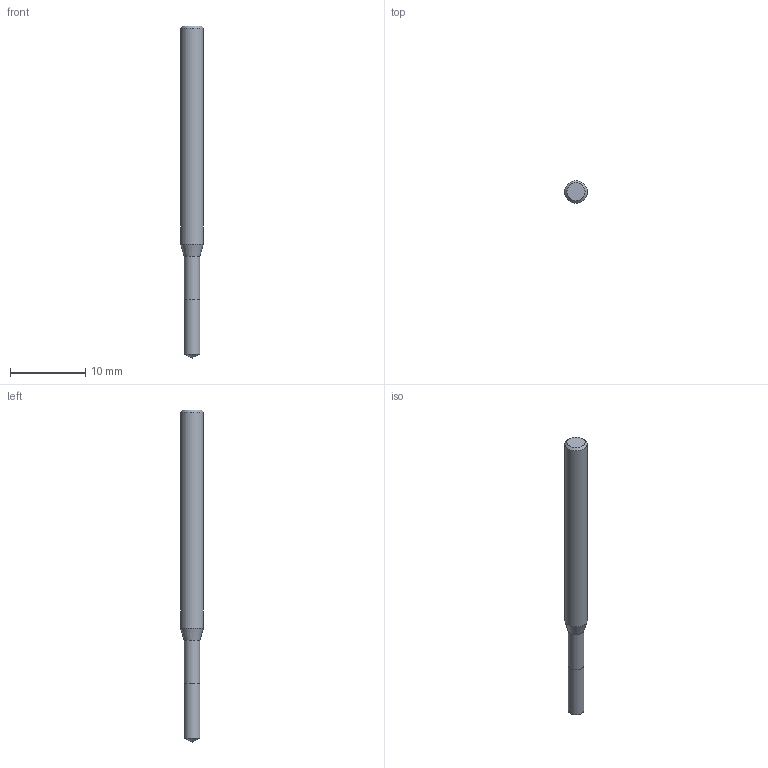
import cadquery as cq
import math

overall_length = 44.0

shank_diameter = 3.0
shank_chamfer = 0.3
shoulder_top = 15.1
shoulder_bottom = 13.5
neck_diameter = 2.1

drill_diameter = 2.12
drill_top = 7.8
point_angle = 130.0
point_height = drill_diameter / 2 / math.tan(math.radians(point_angle / 2))


def make_shank():
    """Chamfered cylinder that narrows through a cone to the neck."""
    shank_radius = shank_diameter / 2
    neck_radius = neck_diameter / 2
    return (
        cq.Workplane("YZ")
        .moveTo(0, drill_top)
        .lineTo(-neck_radius, drill_top)
        .lineTo(-neck_radius, shoulder_bottom)
        .lineTo(-shank_radius, shoulder_top)
        .lineTo(-shank_radius, overall_length - shank_chamfer)
        .lineTo(-shank_radius + shank_chamfer, overall_length)
        .lineTo(0, overall_length)
        .close()
        .revolve(360, (0, 0, 0), (0, 1, 0))
    )


def make_drill():
    """Cylinder with a conical point, seated against the end of the neck."""
    drill_radius = drill_diameter / 2
    return (
        cq.Workplane("XZ")
        .moveTo(0, 0)
        .lineTo(-drill_radius, point_height)
        .lineTo(-drill_radius, drill_top)
        .lineTo(0, drill_top)
        .close()
        .revolve(360, (0, 0, 0), (0, 1, 0))
    )


shank = make_shank()
drill = make_drill()
result = cq.Compound.makeCompound([shank.val(), drill.val()])